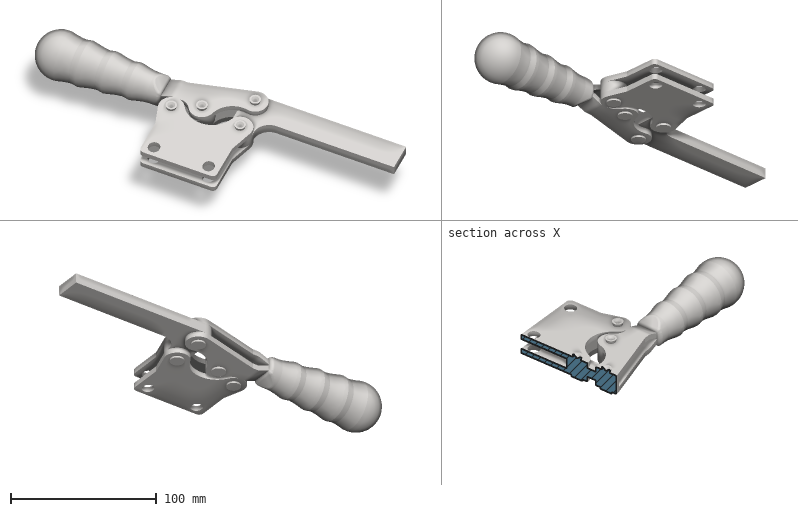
import cadquery as cq
import math


LENGTH = 269.2
TOP_EDGE = 20.7
BOTTOM_EDGE = -62.0

EAR_R = 9.2
GAP_HALF = 3.8
PLATE_T = 4.0
PLATE_Z = GAP_HALF + PLATE_T
BASE_PIVOT_LEFT = (109.0, -17.0)
BASE_PIVOT_RIGHT = (159.3, -13.5)
LEVER_PIVOT_LOW = (128.0, -8.0)
LEVER_PIVOT_HIGH = (BASE_PIVOT_RIGHT[0], TOP_EDGE - EAR_R)

BASE_LEFT = 105.0
BASE_RIGHT = 162.5
SHOULDER_LEFT_Y = -34.5
SHOULDER_RIGHT_Y = -33.6
BASE_CORNER_R = 3.2
BOWL_R = 19.0
SLOT_WIDTH = 8.3
SLOT_HEIGHT = 9.2
SLOT_PITCH = 41.2
SLOT_Y = -54.6

LEVER_HALF_WIDTH = 8.0
LEVER_START_X = 88.8
LEVER_RAMP_X = 110.5
LEVER_THROAT_R = 9.5
LEVER_HOLLOW_R = 17.8
BEND_START_X = 96.0
BEND_END_X = 105.5
BEND_R = 7.3

ARM_BAR_WIDTH = 20.2
ARM_FILLET_R = 11.8

HEAD_R = 5.0
HEAD_T = 1.3
SHANK_R = 3.5
LIP_R = 4.0
LIP_HEIGHT = 2.5
LIP_Z = PLATE_Z + LIP_HEIGHT
DIMPLE_R = 2.7
DIMPLE_DEPTH = 2.2

GRIP_R = 18.0
GRIP_END_X = 97.2
RIB_COUNT = 3
RIB_PITCH = 18.8
RIB_DROP = 1.5
FIRST_WAIST_X = 20.5
WAIST_LENGTH = 10.8
WAIST_DROP = 2.0
WAIST_SAG = 0.3
CREST_OFFSET = 15.5
CREST_DROP = 1.0
CREST_BULGE = 0.13
FLAT_START_X = 89.4
FLAT_END_Z = 6.2
GRIP_EDGE_R = 2.2
GRIP_END_R = 2.7

PICK_MARGIN = 2.7
FLAT_PICK_INSET = 0.5


def polar(center, radius, angle):
    return (center[0] + radius * math.cos(angle), center[1] + radius * math.sin(angle))


def toward(start, target, distance):
    """Point at the given distance from start in the direction of target."""
    return polar(start, distance, math.atan2(target[1] - start[1], target[0] - start[0]))


def tangent_point(center, radius, point, side):
    """Touch point on a circle of the tangent through a point; side +1 is counterclockwise of the point."""
    dx = point[0] - center[0]
    dy = point[1] - center[1]
    spread = math.acos(radius / math.hypot(dx, dy))
    return polar(center, radius, math.atan2(dy, dx) + side * spread)


def joining_center(first, second, radius, side):
    """Center of an arc tangent to the ears around two pivots; side +1 is left of first to second."""
    dx = second[0] - first[0]
    dy = second[1] - first[1]
    lean = math.acos(math.hypot(dx, dy) / 2 / (EAR_R + radius))
    return polar(first, EAR_R + radius, math.atan2(dy, dx) + side * lean)


def mirror_z(body):
    return body.union(body.mirror("XY"))


def base_plates():
    left = BASE_PIVOT_LEFT
    right = BASE_PIVOT_RIGHT
    bowl = joining_center(left, right, BOWL_R, 1)
    shoulder_left = (BASE_LEFT, SHOULDER_LEFT_Y)
    shoulder_right = (BASE_RIGHT, SHOULDER_RIGHT_Y)
    plate = (
        cq.Workplane("XY", origin=(0, 0, GAP_HALF))
        .moveTo(BASE_LEFT, BOTTOM_EDGE)
        .lineTo(BASE_RIGHT, BOTTOM_EDGE)
        .lineTo(*shoulder_right)
        .lineTo(*tangent_point(right, EAR_R, shoulder_right, 1))
        .threePointArc(polar(right, EAR_R, math.pi / 2), toward(right, bowl, EAR_R))
        .threePointArc(polar(bowl, BOWL_R, -math.pi / 2), toward(left, bowl, EAR_R))
        .threePointArc(polar(left, EAR_R, math.pi / 2), tangent_point(left, EAR_R, shoulder_left, -1))
        .lineTo(*shoulder_left)
        .close()
        .extrude(PLATE_T)
    )
    lower_corners = cq.selectors.BoxSelector(
        (BASE_LEFT - PICK_MARGIN, BOTTOM_EDGE - PICK_MARGIN, 0),
        (BASE_RIGHT + PICK_MARGIN, BOTTOM_EDGE + PICK_MARGIN, PLATE_Z),
    )
    plate = plate.edges("|Z").edges(lower_corners).fillet(BASE_CORNER_R)
    slots = (
        cq.Workplane("XY")
        .center((BASE_LEFT + BASE_RIGHT) / 2, SLOT_Y)
        .rarray(SLOT_PITCH, 2.7, 2, 1)
        .slot2D(SLOT_HEIGHT, SLOT_WIDTH, 90)
        .extrude(PLATE_Z)
    )
    return mirror_z(plate.cut(slots))


def lever_plates():
    low = LEVER_PIVOT_LOW
    high = LEVER_PIVOT_HIGH
    ramp = (LEVER_RAMP_X, LEVER_HALF_WIDTH)
    throat_y = -LEVER_HALF_WIDTH - LEVER_THROAT_R
    throat_reach = math.sqrt((EAR_R + LEVER_THROAT_R) ** 2 - (low[1] - throat_y) ** 2)
    throat = (low[0] - throat_reach, throat_y)
    throat_end = toward(low, throat, EAR_R)
    throat_angle = math.atan2(throat_end[1] - throat[1], throat_end[0] - throat[0])
    throat_mid = polar(throat, LEVER_THROAT_R, (throat_angle + math.pi / 2) / 2)
    hollow = joining_center(low, high, LEVER_HOLLOW_R, -1)
    outline = (
        cq.Workplane("XY")
        .moveTo(LEVER_START_X, -LEVER_HALF_WIDTH)
        .lineTo(throat[0], -LEVER_HALF_WIDTH)
        .threePointArc(throat_mid, throat_end)
        .threePointArc(polar(low, EAR_R, -math.pi / 2), toward(low, hollow, EAR_R))
        .threePointArc(polar(hollow, LEVER_HOLLOW_R, math.radians(135)), toward(high, hollow, EAR_R))
        .threePointArc(polar(high, EAR_R, 0), tangent_point(high, EAR_R, ramp, -1))
        .lineTo(*ramp)
        .lineTo(LEVER_START_X, LEVER_HALF_WIDTH)
        .close()
        .extrude(PLATE_Z)
    )
    end_x = high[0] + 2 * EAR_R
    bent_sheet = (
        cq.Workplane("XZ")
        .moveTo(LEVER_START_X, 0)
        .lineTo(BEND_START_X, 0)
        .lineTo(BEND_END_X, GAP_HALF)
        .lineTo(end_x, GAP_HALF)
        .lineTo(end_x, PLATE_Z)
        .lineTo(BEND_END_X, PLATE_Z)
        .lineTo(BEND_START_X, PLATE_T)
        .lineTo(LEVER_START_X, PLATE_T)
        .close()
        .extrude(2 * TOP_EDGE, both=True)
    )
    bends = cq.selectors.BoxSelector(
        (BEND_START_X - PICK_MARGIN, -PICK_MARGIN, -PICK_MARGIN),
        (BEND_END_X + PICK_MARGIN, PICK_MARGIN, PLATE_Z + PICK_MARGIN),
    )
    bent_sheet = bent_sheet.edges("|Y").edges(bends).fillet(BEND_R)
    return mirror_z(outline.intersect(bent_sheet))


def arm():
    lower = BASE_PIVOT_RIGHT
    upper = LEVER_PIVOT_HIGH
    left_x = lower[0] - EAR_R
    right_x = lower[0] + EAR_R
    bar_bottom = TOP_EDGE - ARM_BAR_WIDTH
    fillet_center = (right_x + ARM_FILLET_R, bar_bottom - ARM_FILLET_R)
    return (
        cq.Workplane("XY", origin=(0, 0, -GAP_HALF))
        .moveTo(left_x, lower[1])
        .threePointArc(polar(lower, EAR_R, -math.pi / 2), (right_x, lower[1]))
        .lineTo(right_x, fillet_center[1])
        .threePointArc(polar(fillet_center, ARM_FILLET_R, math.radians(135)), (fillet_center[0], bar_bottom))
        .lineTo(LENGTH, bar_bottom)
        .lineTo(LENGTH, TOP_EDGE)
        .lineTo(upper[0], TOP_EDGE)
        .threePointArc(polar(upper, EAR_R, math.radians(135)), (left_x, upper[1]))
        .close()
        .extrude(2 * GAP_HALF)
    )


def link():
    dx = LEVER_PIVOT_LOW[0] - BASE_PIVOT_LEFT[0]
    dy = LEVER_PIVOT_LOW[1] - BASE_PIVOT_LEFT[1]
    return (
        cq.Workplane("XY", origin=(0, 0, -GAP_HALF))
        .center(BASE_PIVOT_LEFT[0] + dx / 2, BASE_PIVOT_LEFT[1] + dy / 2)
        .slot2D(math.hypot(dx, dy) + 2 * EAR_R, 2 * EAR_R, math.degrees(math.atan2(dy, dx)))
        .extrude(2 * GAP_HALF)
    )


def rivet(pivot):
    """Plain head below the plates, flared lip with a conical dimple above them."""
    return (
        cq.Workplane("XZ")
        .moveTo(0, -PLATE_Z - HEAD_T)
        .lineTo(HEAD_R, -PLATE_Z - HEAD_T)
        .lineTo(HEAD_R, -PLATE_Z)
        .lineTo(SHANK_R, -PLATE_Z)
        .lineTo(SHANK_R, PLATE_Z)
        .lineTo(LIP_R, LIP_Z)
        .lineTo(DIMPLE_R, LIP_Z)
        .lineTo(0, LIP_Z - DIMPLE_DEPTH)
        .close()
        .revolve(360, (0, 0), (0, 1))
        .translate((pivot[0], pivot[1], 0))
    )


def grip():
    """Ball-ended handle with tapering ribs, flattened above and below where the lever enters."""
    first_waist_r = math.sqrt(GRIP_R**2 - (FIRST_WAIST_X - GRIP_R) ** 2)
    profile = (
        cq.Workplane("XY")
        .moveTo(0, 0)
        .threePointArc((GRIP_R, GRIP_R), (FIRST_WAIST_X, first_waist_r))
    )
    for index in range(RIB_COUNT + 1):
        x = FIRST_WAIST_X + index * RIB_PITCH
        r = first_waist_r - index * RIB_DROP
        waist_x = x + WAIST_LENGTH
        waist_r = r - WAIST_DROP
        profile = profile.threePointArc(
            (x + WAIST_LENGTH / 2, r - WAIST_DROP / 2 - WAIST_SAG), (waist_x, waist_r)
        )
        if index < RIB_COUNT:
            crest_x = x + CREST_OFFSET
            crest_r = r - CREST_DROP
            next_x = x + RIB_PITCH
            next_r = r - RIB_DROP
            profile = profile.lineTo(crest_x, crest_r).threePointArc(
                ((crest_x + next_x) / 2, (crest_r + next_r) / 2 + CREST_BULGE), (next_x, next_r)
            )
    body = (
        profile.lineTo(GRIP_END_X, waist_r)
        .lineTo(GRIP_END_X, 0)
        .close()
        .revolve(360, (0, 0), (1, 0))
    )
    wedge = (
        cq.Workplane("XZ")
        .moveTo(FLAT_START_X, waist_r)
        .lineTo(GRIP_END_X, FLAT_END_Z)
        .lineTo(GRIP_END_X, waist_r)
        .close()
        .extrude(GRIP_R, both=True)
    )
    body = body.cut(mirror_z(wedge))
    flats = cq.selectors.BoxSelector(
        (FLAT_START_X, -PICK_MARGIN, -GRIP_R), (GRIP_END_X - FLAT_PICK_INSET, PICK_MARGIN, GRIP_R)
    )
    body = body.faces(flats).faces("%PLANE").edges("not |Y").fillet(GRIP_EDGE_R)
    return body.faces(">X").edges().fillet(GRIP_END_R)


result = grip()
for part in (lever_plates(), base_plates(), arm(), link()):
    result = result.union(part, clean=False)
for pivot in (BASE_PIVOT_LEFT, BASE_PIVOT_RIGHT, LEVER_PIVOT_LOW, LEVER_PIVOT_HIGH):
    result = result.union(rivet(pivot), clean=False)